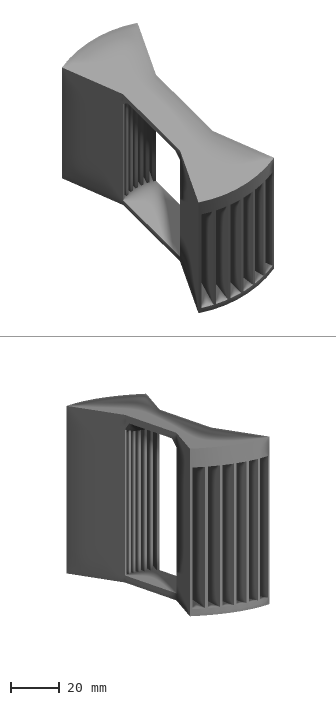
import cadquery as cq
import math

outer_radius = 50.0
vane_inner_radius = 21.0
vane_thickness = 1.2
vane_count = 7
vane_pitch = 7.5
height = 71.0
plate_thickness = 3.0
rim_depth = 8.0
end_angles = (0, 180)

fan_half_angle = math.radians(vane_pitch * (vane_count - 1) / 2)
half_vane = vane_thickness / 2
waist_x = vane_inner_radius * math.cos(fan_half_angle) - half_vane * math.sin(fan_half_angle)
waist_y = vane_inner_radius * math.sin(fan_half_angle) + half_vane * math.cos(fan_half_angle)
vane_outer_x = math.sqrt(outer_radius**2 - half_vane**2)
tip_angle = fan_half_angle + math.asin(half_vane / outer_radius)
tip_x = outer_radius * math.cos(tip_angle)
tip_y = outer_radius * math.sin(tip_angle)

slope_end_x = vane_inner_radius
slope_start_x = slope_end_x - (rim_depth - plate_thickness)


def bow_tie(thickness):
    """Prism with a straight waist and fan-shaped ends."""
    return (
        cq.Workplane("XY")
        .moveTo(waist_x, waist_y)
        .lineTo(tip_x, tip_y)
        .threePointArc((outer_radius, 0), (tip_x, -tip_y))
        .lineTo(waist_x, -waist_y)
        .lineTo(-waist_x, -waist_y)
        .lineTo(-tip_x, -tip_y)
        .threePointArc((-outer_radius, 0), (-tip_x, tip_y))
        .lineTo(-waist_x, waist_y)
        .close()
        .extrude(thickness)
    )


def top_plate():
    """Thin plate at the waist that deepens into a rim at both ends."""
    slab = bow_tie(rim_depth).translate((0, 0, height - rim_depth))
    underside = (
        cq.Workplane("XZ")
        .moveTo(-slope_end_x, height - rim_depth)
        .lineTo(-slope_start_x, height - plate_thickness)
        .lineTo(slope_start_x, height - plate_thickness)
        .lineTo(slope_end_x, height - rim_depth)
        .close()
        .extrude(outer_radius, both=True)
    )
    return slab.cut(underside)


def vane(angle):
    """Full-height radial blade whose outer end follows the outer arc."""
    blade = (
        cq.Workplane("XY")
        .moveTo(vane_inner_radius, -half_vane)
        .lineTo(vane_outer_x, -half_vane)
        .threePointArc((outer_radius, 0), (vane_outer_x, half_vane))
        .lineTo(vane_inner_radius, half_vane)
        .close()
        .extrude(height)
    )
    return blade.rotate((0, 0, 0), (0, 0, 1), angle)


result = bow_tie(plate_thickness).union(top_plate())
for end_angle in end_angles:
    for index in range(vane_count):
        offset = (index - (vane_count - 1) / 2) * vane_pitch
        result = result.union(vane(end_angle + offset))